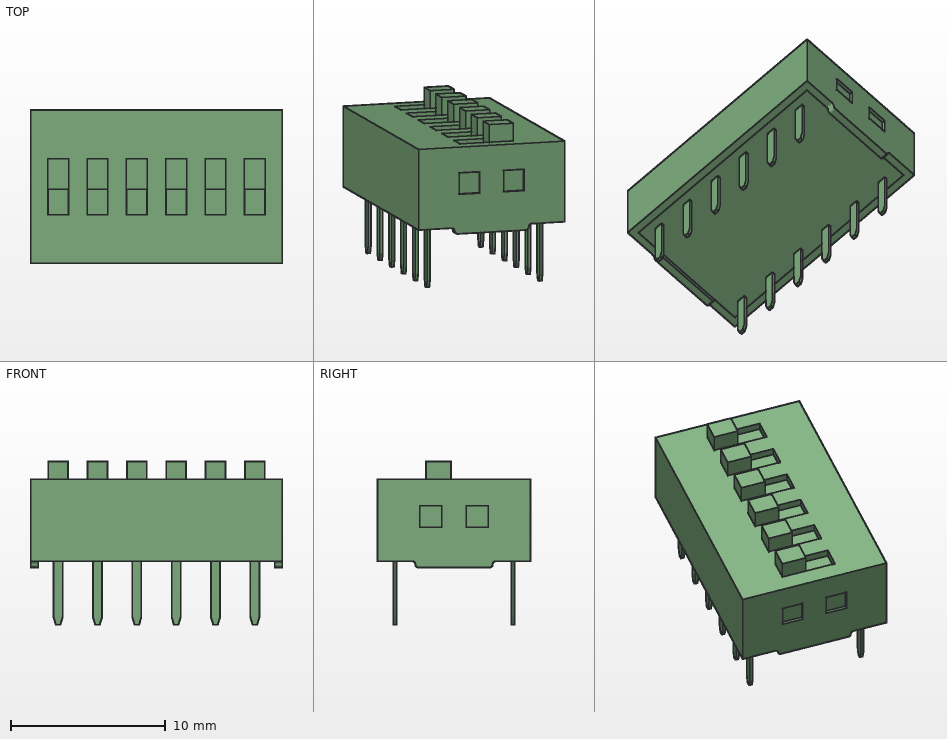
import cadquery as cq

housing_length = 16.24
housing_width = 9.9
housing_height = 5.3
wall = 0.5

foot_height = 0.4
foot_width = 5.0
foot_radius = foot_height / 2

window_size = 1.4
window_depth = 0.2
window_spacing = 3.0
window_below_top = 2.4

switch_count = 6
pitch = 2.54
switch_xs = [(i - (switch_count - 1) / 2) * pitch for i in range(switch_count)]

slot_width = 1.34
slot_length = 3.62
slider_width = 1.3
slider_length = 1.63
slider_rise = 1.15

pin_width = 0.6
pin_thickness = 0.2
pin_row_spacing = 7.62
pin_length = 4.1
pin_tip_width = 0.3
pin_tip_height = 0.5

housing_bottom = foot_height
housing_top = housing_bottom + housing_height
cavity_top = housing_top - wall
slider_top = housing_top + slider_rise
pin_bottom = housing_bottom - pin_length


def block(size_x, size_y, bottom, top, x=0, y=0):
    """Upright box centred on (x, y) between two levels."""
    height = top - bottom
    return cq.Workplane("XY", origin=(x, y, bottom)).box(size_x, size_y, height, centered=(True, True, False))


def make_end_wall(outer_x):
    """End wall from the cavity top down to the foot; each foot side is an S of two quarter arcs."""
    half_width = housing_width / 2
    half_foot = foot_width / 2
    half_root = half_foot + foot_radius
    half_sole = half_foot - foot_radius
    inward = -wall if outer_x > 0 else wall
    return (
        cq.Workplane("YZ", origin=(outer_x, 0, 0))
        .moveTo(-half_width, cavity_top)
        .lineTo(-half_width, housing_bottom)
        .lineTo(-half_root, housing_bottom)
        .radiusArc((-half_foot, foot_radius), foot_radius)
        .radiusArc((-half_sole, 0), -foot_radius)
        .lineTo(half_sole, 0)
        .radiusArc((half_foot, foot_radius), -foot_radius)
        .radiusArc((half_root, housing_bottom), foot_radius)
        .lineTo(half_width, housing_bottom)
        .lineTo(half_width, cavity_top)
        .close()
        .extrude(inward)
    )


def make_housing():
    """Cover open at the bottom, with slots through its top wall."""
    housing = block(housing_length, housing_width, housing_bottom, housing_top)
    cavity = block(housing_length - 2 * wall, housing_width - 2 * wall, housing_bottom, cavity_top)
    housing = housing.cut(cavity)

    window_z = housing_top - window_below_top
    for end in (-1, 1):
        outer_x = end * housing_length / 2
        housing = housing.union(make_end_wall(outer_x))
        for side in (-1, 1):
            window = cq.Workplane("XY", origin=(outer_x, side * window_spacing / 2, window_z))
            housing = housing.cut(window.box(2 * window_depth, window_size, window_size))

    for x in switch_xs:
        housing = housing.cut(block(slot_width, slot_length, cavity_top, housing_top, x))
    return housing


def make_pin(x, y):
    """Flat pin with a tapered tip."""
    half_width = pin_width / 2
    half_tip = pin_tip_width / 2
    taper_top = pin_bottom + pin_tip_height
    outline = [
        (-half_width, housing_bottom),
        (-half_width, taper_top),
        (-half_tip, pin_bottom),
        (half_tip, pin_bottom),
        (half_width, taper_top),
        (half_width, housing_bottom),
    ]
    profile = cq.Workplane("XZ", origin=(x, y, 0)).polyline(outline).close()
    return profile.extrude(pin_thickness / 2, both=True)


def make_base():
    """Core filling the housing cavity, carrying both rows of pins."""
    base = block(housing_length - 2 * wall, housing_width - 2 * wall, housing_bottom, cavity_top)
    for x in switch_xs:
        for side in (-1, 1):
            base = base.union(make_pin(x, side * pin_row_spacing / 2))
    return base


def make_slider(x):
    """Slider resting on the base, pushed to the -Y end of its slot."""
    y = (slider_length - slot_length) / 2
    return block(slider_width, slider_length, cavity_top, slider_top, x, y)


housing = make_housing()
base = make_base()
sliders = [make_slider(x) for x in switch_xs]

result = cq.Compound.makeCompound([housing.val(), base.val(), *[slider.val() for slider in sliders]])